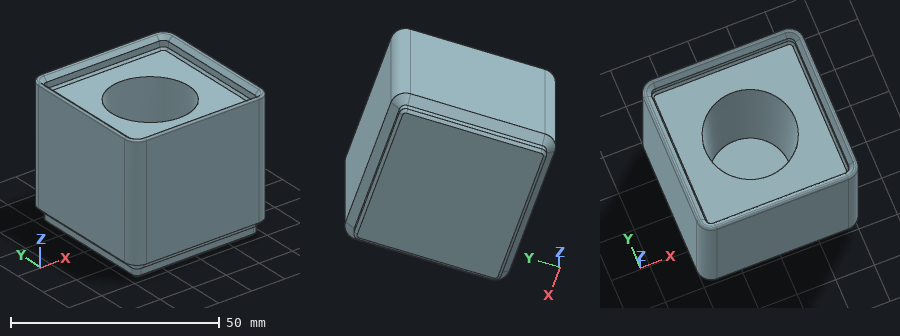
import cadquery as cq

side = 41.5
height = 38.8
corner_radius = 3.75

foot_edge_bevel = 0.8
foot_band_height = 1.8
foot_body_bevel = 2.15

lip_crest_width = 0.85
lip_band_inset = 2.2
lip_band_height = 1.8
floor_inset = 2.82
lip_outer_round = 0.45
lip_inner_round = 0.65

pocket_top_diameter = 23.07
pocket_bottom_diameter = 20.0
pocket_depth = 29.05

bevel_angle = 45.0

foot_height = foot_edge_bevel + foot_band_height + foot_body_bevel
lip_upper_bevel = lip_band_inset - lip_crest_width
lip_lower_bevel = floor_inset - lip_band_inset
lip_depth = lip_upper_bevel + lip_band_height + lip_lower_bevel
floor_z = height - lip_depth


def rounded_square(inset, bottom_z, layer_height, taper=0.0):
    """Layer set in from the body sides by inset; a negative taper widens it upward."""
    width = side - 2 * inset
    outline = cq.Sketch().rect(width, width).vertices().fillet(corner_radius - inset)
    base_plane = cq.Workplane("XY", origin=(0, 0, bottom_z))
    return base_plane.placeSketch(outline).extrude(layer_height, taper=taper)


def stepped_square(bottom_inset, lower_bevel, band_height, upper_bevel, bottom_z):
    """Stack that widens by a bevel, runs straight, then widens by a second bevel."""
    band_inset = bottom_inset - lower_bevel
    band_z = bottom_z + lower_bevel
    lower = rounded_square(bottom_inset, bottom_z, lower_bevel, -bevel_angle)
    band = rounded_square(band_inset, band_z, band_height)
    upper = rounded_square(band_inset, band_z + band_height, upper_bevel, -bevel_angle)
    return lower.union(band).union(upper)


def make_block():
    """Plain body on its stepped foot."""
    foot_inset = foot_edge_bevel + foot_body_bevel
    foot = stepped_square(foot_inset, foot_edge_bevel, foot_band_height, foot_body_bevel, 0)
    body = rounded_square(0, foot_height, height - foot_height)
    return foot.union(body)


def add_lip(block):
    """Recess the top to leave the lip, then round both edges of its crest."""
    recess = stepped_square(floor_inset, lip_lower_bevel, lip_band_height, lip_upper_bevel, floor_z)
    outer_loop = cq.selectors.LengthNthSelector(-1)
    inner_loop = cq.selectors.LengthNthSelector(0)
    lipped = block.cut(recess)
    lipped = lipped.faces(">Z").wires(outer_loop).fillet(lip_outer_round)
    return lipped.faces(">Z").wires(inner_loop).fillet(lip_inner_round)


def make_pocket():
    """Cone frustum reaching down from the floor."""
    return (
        cq.Workplane("XY", origin=(0, 0, floor_z))
        .circle(pocket_top_diameter / 2)
        .workplane(offset=-pocket_depth)
        .circle(pocket_bottom_diameter / 2)
        .loft(ruled=True)
    )


result = add_lip(make_block()).cut(make_pocket())